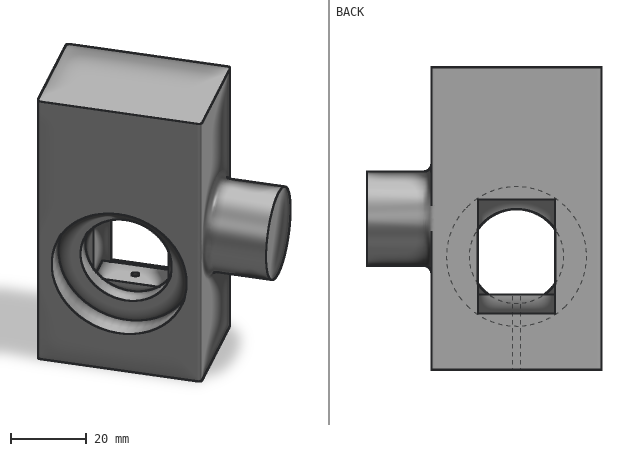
import cadquery as cq

total_length = 62.0
block_width = 45.0
block_depth = 30.0
block_height = 80.0
corner_radius = 1.0

stub_diameter = 25.0
stub_flare_radius = 2.0

bore_height = 30.0
bore_diameter = 25.0
counterbore_diameter = 37.0
counterbore_depth = 7.0
bore_depth = 12.0

pocket_width = 20.4
pocket_half_height = 15.0
ledge_drop = 10.0
ledge_depth = 9.0
pin_hole_diameter = 2.0

center_x = block_width / 2
ledge_height = bore_height - ledge_drop
ledge_back = bore_depth + ledge_depth
pocket_top = bore_height + pocket_half_height
pocket_bottom = bore_height - pocket_half_height


def front_bore(diameter, depth):
    """Round cutter running from the front face toward +Y."""
    return (
        cq.Workplane("XZ")
        .center(center_x, bore_height)
        .circle(diameter / 2)
        .extrude(-depth)
    )


def pocket_box(front, bottom):
    """Rectangular cutter from the given front plane to the back face."""
    return (
        cq.Workplane("XY")
        .box(pocket_width, block_depth - front, pocket_top - bottom, centered=(True, False, False))
        .translate((center_x, front, bottom))
    )


block = cq.Workplane("XY").box(block_width, block_depth, block_height, centered=False)

stub = (
    cq.Workplane("YZ", origin=(block_width, block_depth / 2, block_height / 2))
    .circle(stub_diameter / 2)
    .extrude(total_length - block_width)
)
body = block.union(stub)
stub_root = cq.selectors.NearestToPointSelector((block_width, block_depth / 2, block_height / 2))
body = body.edges(stub_root).fillet(stub_flare_radius)

body = body.edges("|Z").fillet(corner_radius)

pin_hole = (
    cq.Workplane("XY")
    .center(center_x, bore_depth + ledge_depth / 2)
    .circle(pin_hole_diameter / 2)
    .extrude(ledge_height)
)

result = (
    body.cut(front_bore(counterbore_diameter, counterbore_depth))
    .cut(front_bore(bore_diameter, bore_depth))
    .cut(pocket_box(bore_depth, ledge_height))
    .cut(pocket_box(ledge_back, pocket_bottom))
    .cut(pin_hole)
)